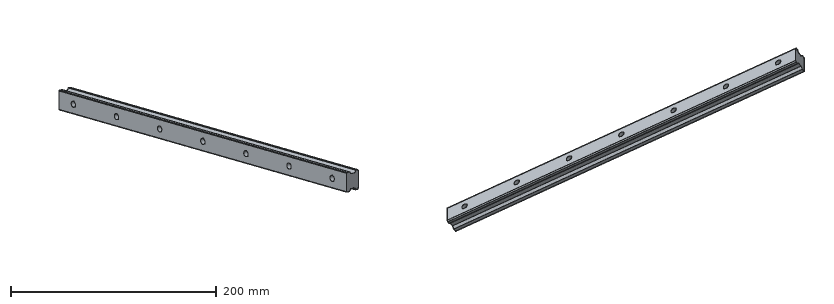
import cadquery as cq
import math

length = 400.0
depth = 16.5
height = 20.0
half_height = height / 2

base_chamfer = 0.6
base_depth = 4.0
groove_depth = 2.5
groove_floor = 3.5
head_chamfer = 1.0

hole_count = 7
hole_pitch = 60.0
hole_diameter = 6.0


def make_rail():
    """Extrude the upper half of the cross-section and mirror it."""
    groove_z = half_height - groove_depth
    floor_start = base_depth + groove_depth
    floor_end = floor_start + groove_floor
    head_start = floor_end + groove_depth
    arc_reach = groove_depth * math.sqrt(0.5)
    upper_half = (
        cq.Workplane("YZ")
        .polyline([
            (0, 0),
            (0, half_height - base_chamfer),
            (base_chamfer, half_height),
            (base_depth, half_height),
            (floor_start, groove_z),
            (floor_end, groove_z),
        ])
        .threePointArc(
            (floor_end + arc_reach, half_height - arc_reach),
            (head_start, half_height),
        )
        .lineTo(depth - head_chamfer, half_height)
        .lineTo(depth, half_height - head_chamfer)
        .lineTo(depth, 0)
        .close()
        .extrude(length)
    )
    return upper_half.union(upper_half.mirror("XY")).clean()


def make_holes():
    """Cylinders along Y, spaced evenly about the middle of the rail."""
    return (
        cq.Workplane("XZ")
        .center(length / 2, 0)
        .rarray(hole_pitch, 4, hole_count, 1)
        .circle(hole_diameter / 2)
        .extrude(-depth)
    )


result = make_rail().cut(make_holes())